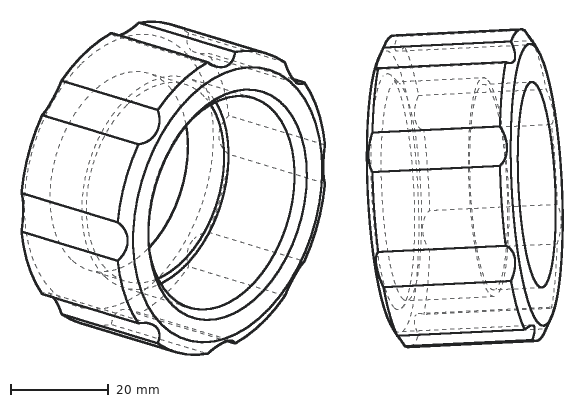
import cadquery as cq
import math

width = 30.0
groove_edge_span = 63.45
groove_chord = 8.4
outer_radius = math.hypot(groove_edge_span / 2, groove_chord / 2)
face_radius = 28.9
chamfer_length = 1.7

narrow_bore_diameter = 42.2
wide_bore_diameter = 44.9
narrow_bore_length = 10.0

flare_size = 1.8
mouth_radius = wide_bore_diameter / 2 + flare_size

groove_count = 8
groove_depth = 1.8
groove_radius = ((groove_chord / 2) ** 2 + groove_depth**2) / (2 * groove_depth)
groove_center_radius = groove_edge_span / 2 - groove_depth + groove_radius


def make_ring():
    """Revolve the half section, with both outer edges bevelled and the bore flared, about X."""
    left = -width / 2
    right = width / 2
    step = left + narrow_bore_length
    section = [
        (left, narrow_bore_diameter / 2),
        (left, face_radius),
        (left + chamfer_length, outer_radius),
        (right - chamfer_length, outer_radius),
        (right, face_radius),
        (right, mouth_radius),
        (right - flare_size, wide_bore_diameter / 2),
        (step, wide_bore_diameter / 2),
        (step, narrow_bore_diameter / 2),
    ]
    return cq.Workplane("XY").polyline(section).close().revolve(360, (0, 0, 0), (1, 0, 0))


def make_grooves():
    """Cylinders along X, centred just outside the rim."""
    return (
        cq.Workplane("YZ")
        .polarArray(groove_center_radius, 0, 360, groove_count)
        .circle(groove_radius)
        .extrude(width / 2, both=True)
    )


result = make_ring().cut(make_grooves())